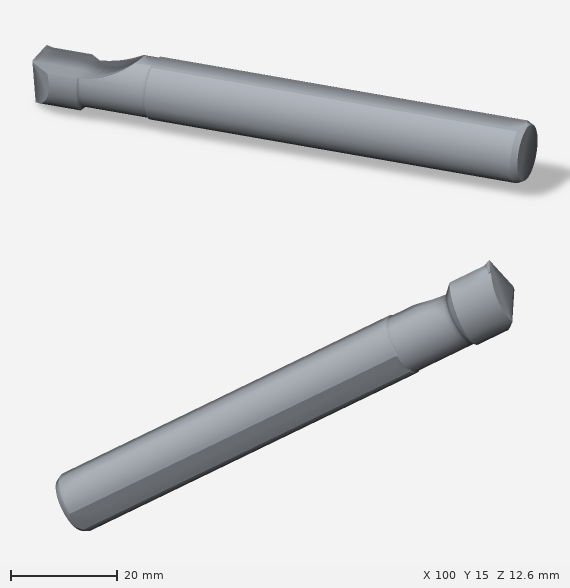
import cadquery as cq
import math

length = 100.0
shank_radius = 6.0
flat_height = 5.5
end_chamfer = 1.2
end_chamfer_depth = 0.6

neck_step = 0.25
neck_radius = shank_radius - neck_step
neck_start = 11.9
neck_end = 25.3
head_radius = 7.1
head_offset = head_radius - shank_radius
overlap = 0.5

rake_angle = 8.0
rake_height = 1.4
disc_center_x = 1.2
disc_radius = 11.0
runout_radius = 14.2
runout_height = 9.0

clearance = 7.0
insert_thickness = 2.4
tip_y = shank_radius + 3.0
insert_side = 9.2
insert_corner = 60.0
lead_angle = 3.6
heel_length = 0.9
heel_turn = 15.0
block_depth = 10.0
block_width = 30.0

rake_tilt = math.radians(rake_angle)
rake_plane = cq.Plane(
    origin=(0, 0, rake_height),
    xDir=(1, 0, 0),
    normal=(0, math.sin(rake_tilt), math.cos(rake_tilt)),
)

tip_v = tip_y / math.cos(rake_tilt)


def edge_point(distance, turn=0.0):
    """Point at a distance from the tip; turn is measured from the front edge."""
    angle = math.radians(lead_angle + turn)
    return (distance * math.sin(angle), tip_v - distance * math.cos(angle))


def make_insert():
    corners = [edge_point(0), edge_point(insert_side), edge_point(insert_side, insert_corner)]
    return cq.Workplane(rake_plane).polyline(corners).close().extrude(-insert_thickness, taper=clearance)


def make_shank():
    shank = cq.Workplane("YZ").workplane(offset=neck_end - neck_step)
    shank = shank.circle(shank_radius).extrude(length - neck_end + neck_step)
    shank = shank.faces("<X").chamfer(neck_step)
    shank = shank.faces(">X").chamfer(end_chamfer, end_chamfer_depth)
    flats = cq.Workplane("XY").box(2 * length, 4 * shank_radius, 2 * flat_height)
    return shank.intersect(flats)


def make_neck():
    start = neck_start - overlap
    neck = cq.Workplane("YZ").workplane(offset=start).circle(neck_radius).extrude(neck_end - start)
    top_flat = cq.Workplane("XY").workplane(offset=flat_height)
    return neck.cut(top_flat.rect(2 * length, 4 * neck_radius).extrude(shank_radius))


def make_head():
    head = cq.Workplane("YZ").center(head_offset, 0).circle(head_radius).extrude(neck_start)

    rim = neck_radius + neck_start
    bevel = (
        cq.Workplane("XZ")
        .polyline([(0, 0), (0, rim), (neck_start, neck_radius), (neck_start, 0)])
        .close()
        .revolve(360, (0, 0, 0), (1, 0, 0))
    )

    corner_x, corner_v = edge_point(insert_side)
    heel_angle = math.radians(lead_angle + heel_turn)
    heel_x = corner_x + heel_length * math.sin(heel_angle)
    heel_v = corner_v - heel_length * math.cos(heel_angle)
    outline = [
        edge_point(-block_width),
        (corner_x, corner_v),
        (heel_x, heel_v),
        (heel_x + block_width, heel_v - block_width),
        (heel_x + 2 * block_width, heel_v - block_width),
        (heel_x + 2 * block_width, block_width),
    ]
    block = cq.Workplane(rake_plane).polyline(outline).close().extrude(-block_depth, taper=clearance)

    block = block.union(cq.Workplane(rake_plane).polyline(outline).close().extrude(block_depth))
    return head.intersect(bevel).intersect(block)


def make_runout():
    """Flat disc with a concave flared rim, cut into the top of the head and neck."""
    rim = math.acos(1 - runout_height / runout_radius)
    middle = rim / 2

    def flare(angle):
        radius = disc_radius + runout_radius * math.sin(angle)
        return (radius, runout_radius * (1 - math.cos(angle)))

    frame = cq.Plane(
        origin=(disc_center_x, 0, rake_height),
        xDir=(1, 0, 0),
        normal=(0, -math.cos(rake_tilt), math.sin(rake_tilt)),
    )
    return (
        cq.Workplane(frame)
        .lineTo(disc_radius, 0)
        .threePointArc(flare(middle), flare(rim))
        .lineTo(0, runout_height)
        .close()
        .revolve(360, (0, 0, 0), (0, 1, 0))
    )


insert = make_insert()
holder = make_shank().union(make_neck()).union(make_head())
holder = holder.cut(make_runout()).cut(insert)

result = cq.Compound.makeCompound([holder.val(), insert.val()])